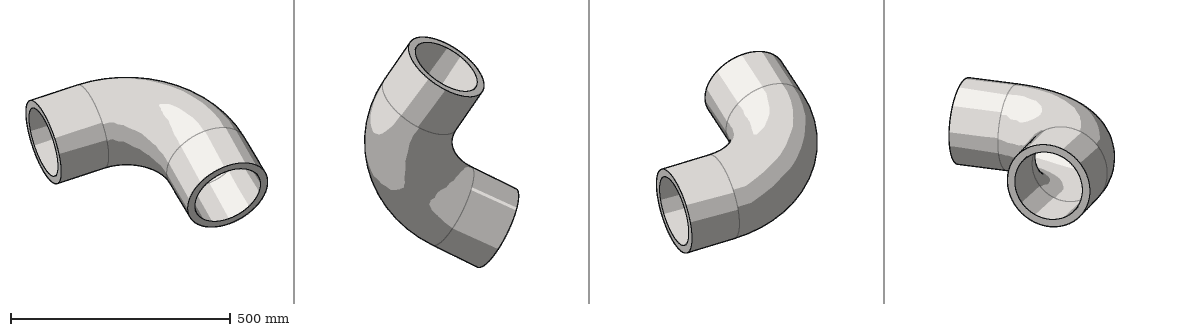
import cadquery as cq
import math

outer_diameter = 200.0
wall_thickness = 18.2
bend_radius = 200.0
spigot_length = 118.5

outer_radius = outer_diameter / 2
bore_radius = outer_radius - wall_thickness

bend_midpoint = bend_radius * math.cos(math.radians(45))


def centreline():
    """Straight spigot, quarter bend, straight spigot, all in the XY plane."""
    return (
        cq.Workplane("XY")
        .moveTo(-bend_radius, -spigot_length)
        .lineTo(-bend_radius, 0)
        .threePointArc((-bend_midpoint, bend_midpoint), (0, bend_radius))
        .lineTo(spigot_length, bend_radius)
    )


def elbow():
    """Sweep the pipe ring along the centreline from the -Y end face."""
    return (
        cq.Workplane("XZ", origin=(-bend_radius, -spigot_length, 0))
        .circle(outer_radius)
        .circle(bore_radius)
        .sweep(centreline())
        .solids()
    )


result = elbow()